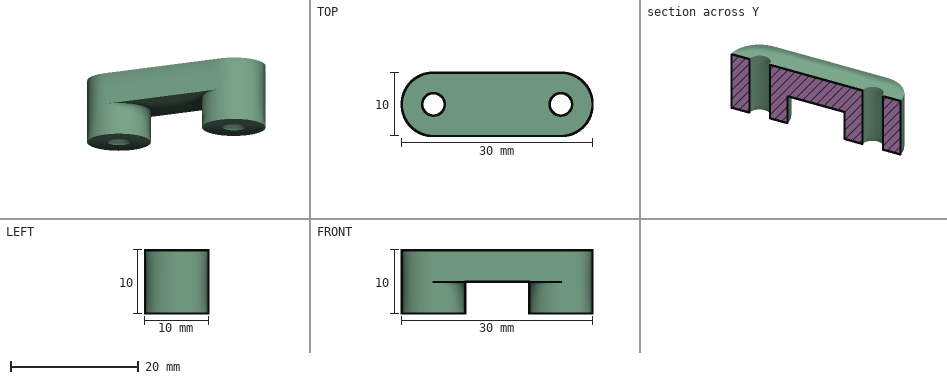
import cadquery as cq

post_diameter = 10.0
post_spacing = 20.0
total_height = 10.0
bridge_thickness = 5.0
hole_diameter = 3.5

bridge_bottom = total_height - bridge_thickness
post_centers = [(-post_spacing / 2, 0), (post_spacing / 2, 0)]


def make_cylinders(diameter):
    """Full-height cylinders standing on both post axes."""
    return (
        cq.Workplane("XY")
        .pushPoints(post_centers)
        .circle(diameter / 2)
        .extrude(total_height)
    )


def make_bridge():
    """Straight bar between the post axes, flush with the post tops and tangent to their sides."""
    return (
        cq.Workplane("XY")
        .workplane(offset=bridge_bottom)
        .rect(post_spacing, post_diameter)
        .extrude(bridge_thickness)
    )


posts = make_cylinders(post_diameter)
through_holes = make_cylinders(hole_diameter)

result = posts.union(make_bridge()).cut(through_holes)